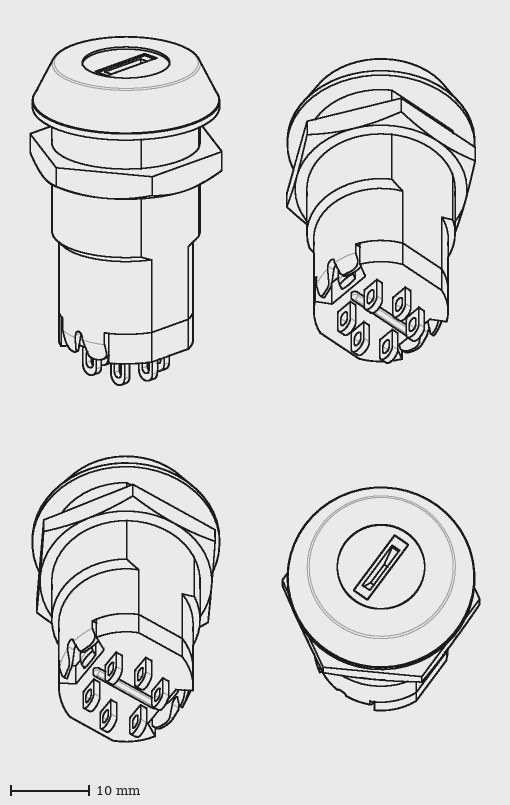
import cadquery as cq
import math

top_z = 42.4
rim_top_z = 37.25
head_bottom_z = 36.35
nut_top_z = 31.4
nut_bottom_z = 27.85
step_top_z = 19.3
base_top_z = 8.45
taper_top_z = 6.85
base_bottom_z = 4.35
rib_bottom_z = 3.4

head_radius = 12.0
rim_chamfer = 0.1
cone_top_radius = 9.4
head_edge_fillet = 0.3
neck_radius = 9.5
barrel_radius = 8.6
half_flats = 7.95
step_bottom_z = step_top_z - (neck_radius - barrel_radius)

tongue_half_width = 3.77
tongue_inner_radius = 7.6
tongue_tip_radius = 7.95
arch_radius = 0.6
arch_top_z = 7.85
notch_half_width = 1.2
tongue_outer_fillet = 1.35
tongue_inner_fillet = 0.7

nut_across_flats = 22.0
nut_chamfer_angle = 30.0

core_radius = 5.6
core_recess = 0.3
frame_width = 2.15
frame_length = 9.0
frame_depth = 0.25
slot_width = 1.15
slot_length = 6.55
slot_straight_depth = 0.95
slot_floor_length = 2.95
slot_end_slope = 60.0

gap_half_angle = 30.0
gap_floor_y = 5.55
catch_half_width = 1.27
catch_radius = 6.3
catch_mid_radius = 6.1
catch_mid_z = 6.15
catch_bottom_z = 5.4
rib_width = 0.98
rib_length = 9.95
rib_fillet = 0.45

leg_width = 2.45
leg_thickness = 0.95
leg_hole_width = 1.2
leg_hole_bottom_z = 1.0
leg_hole_top_z = 3.22
bridge_bottom_z = 5.72
bridge_top_z = 6.65
row_spacing = 3.6
inner_leg_x = 2.55
outer_leg_x = 4.0
clip_rows = [(-row_spacing, inner_leg_x), (0.0, outer_leg_x), (row_spacing, inner_leg_x)]


def revolved(profile):
    """Solid of revolution about Z from (radius, z) points."""
    return cq.Workplane("XZ").polyline(profile).close().revolve(360, (0, 0), (0, 1))


def box_between(x_half, y_half, bottom, top):
    """Box centred on the Z axis between two heights."""
    return (
        cq.Workplane("XY")
        .workplane(offset=bottom)
        .rect(2 * x_half, 2 * y_half)
        .extrude(top - bottom)
    )


def make_tongue():
    """Tongue on the -Y side: arched notch, two round lobes, tapered outer face."""
    half_outline = (
        cq.Workplane("XZ")
        .moveTo(0, base_top_z)
        .lineTo(tongue_half_width, base_top_z)
        .lineTo(tongue_half_width, base_bottom_z)
        .lineTo(notch_half_width, base_bottom_z)
        .lineTo(arch_radius, arch_top_z - arch_radius)
        .radiusArc((0, arch_top_z), -arch_radius)
        .close()
    )
    lobe = half_outline.extrude(neck_radius)
    lobe = lobe.faces("<Z").edges("|Y and >X").fillet(tongue_outer_fillet)
    lobe = lobe.faces("<Z").edges("|Y and <X").fillet(tongue_inner_fillet)
    plate = lobe.union(lobe.mirror("YZ"))
    shell = revolved([
        (tongue_inner_radius, base_top_z),
        (barrel_radius, base_top_z),
        (barrel_radius, taper_top_z),
        (tongue_tip_radius, base_bottom_z),
        (tongue_inner_radius, base_bottom_z),
    ])
    return plate.intersect(shell)


def make_housing():
    """Conical head, flatted neck and barrel, and the two snap tongues."""
    head = revolved([
        (0, head_bottom_z),
        (head_radius, head_bottom_z),
        (head_radius, rim_top_z - rim_chamfer),
        (head_radius - rim_chamfer, rim_top_z),
        (cone_top_radius, top_z),
        (0, top_z),
    ])
    head = head.faces(">Z").edges().fillet(head_edge_fillet)
    shank = revolved([
        (0, base_top_z),
        (barrel_radius, base_top_z),
        (barrel_radius, step_bottom_z),
        (neck_radius, step_top_z),
        (neck_radius, head_bottom_z),
        (0, head_bottom_z),
    ])
    shank = shank.intersect(box_between(half_flats, neck_radius, base_top_z, head_bottom_z))
    tongue = make_tongue()
    core_hole = (
        cq.Workplane("XY")
        .workplane(offset=head_bottom_z)
        .circle(core_radius)
        .extrude(top_z - head_bottom_z)
    )
    return head.union(shank).union(tongue).union(tongue.mirror("XZ")).cut(core_hole)


def make_nut():
    """Hexagonal nut with corners on the Y axis, chamfered on its lower face."""
    nut_height = nut_top_z - nut_bottom_z
    half_corners = nut_across_flats / 2 / math.cos(math.pi / 6)
    hexagon = (
        cq.Workplane("XY")
        .workplane(offset=nut_bottom_z)
        .polygon(6, 2 * half_corners)
        .extrude(nut_height)
        .rotate((0, 0, 0), (0, 0, 1), 30)
    )
    chamfer_run = nut_height / math.tan(math.radians(nut_chamfer_angle))
    envelope = revolved([
        (0, nut_bottom_z),
        (nut_across_flats / 2, nut_bottom_z),
        (nut_across_flats / 2 + chamfer_run, nut_top_z),
        (0, nut_top_z),
    ])
    return hexagon.intersect(envelope).faces(">Z").workplane(origin=(0, 0, 0)).hole(2 * neck_radius)


def make_core():
    """Key core set below the head face, with a framed key slot that narrows to a flat floor."""
    face_z = top_z - core_recess
    frame_floor_z = face_z - frame_depth
    slope_top_z = frame_floor_z - slot_straight_depth
    slope_run = (slot_length - slot_floor_length) / 2
    slot_floor_z = slope_top_z - slope_run * math.tan(math.radians(slot_end_slope))
    disc = (
        cq.Workplane("XY")
        .workplane(offset=head_bottom_z)
        .circle(core_radius)
        .extrude(face_z - head_bottom_z)
    )
    frame = box_between(frame_width / 2, frame_length / 2, frame_floor_z, face_z)
    slot = (
        cq.Workplane("YZ")
        .polyline([
            (-slot_length / 2, frame_floor_z),
            (slot_length / 2, frame_floor_z),
            (slot_length / 2, slope_top_z),
            (slot_floor_length / 2, slot_floor_z),
            (-slot_floor_length / 2, slot_floor_z),
            (-slot_length / 2, slope_top_z),
        ])
        .close()
        .extrude(slot_width / 2, both=True)
    )
    return disc.cut(frame).cut(slot)


def make_leg(x, y):
    """Flat solder leg with a round tip and an elongated hole."""
    tip_radius = leg_width / 2
    hole_length = leg_hole_top_z - leg_hole_bottom_z
    hole_z = (leg_hole_top_z + leg_hole_bottom_z) / 2
    blade = (
        cq.Workplane("XZ", origin=(x, y, 0))
        .moveTo(-tip_radius, bridge_top_z)
        .lineTo(-tip_radius, tip_radius)
        .threePointArc((0, 0), (tip_radius, tip_radius))
        .lineTo(tip_radius, bridge_top_z)
        .close()
        .extrude(leg_thickness / 2, both=True)
    )
    hole = (
        cq.Workplane("XZ", origin=(x, y, hole_z))
        .slot2D(hole_length, leg_hole_width, 90)
        .extrude(leg_thickness, both=True)
    )
    return blade.cut(hole)


def make_clip(y, leg_x):
    """Terminal clip with legs at -leg_x and +leg_x."""
    bridge = box_between(leg_x, leg_thickness / 2, bridge_bottom_z, bridge_top_z).translate((0, y, 0))
    return bridge.union(make_leg(-leg_x, y)).union(make_leg(leg_x, y))


def make_gap():
    """Cutter for the tongue gap on the -Y side: a radial sector with a flat floor."""
    slope = math.tan(math.radians(gap_half_angle))
    outer_y = neck_radius
    return (
        cq.Workplane("XY")
        .workplane(offset=base_bottom_z)
        .polyline([
            (-gap_floor_y * slope, -gap_floor_y),
            (gap_floor_y * slope, -gap_floor_y),
            (outer_y * slope, -outer_y),
            (-outer_y * slope, -outer_y),
        ])
        .close()
        .extrude(base_top_z - base_bottom_z)
    )


def make_base(clips):
    """Base plate with tongue gaps, catches behind the tongue notches, a rib and clip seats."""
    disc = (
        cq.Workplane("XY")
        .workplane(offset=base_bottom_z)
        .circle(barrel_radius)
        .extrude(base_top_z - base_bottom_z)
    )
    plate = disc.intersect(box_between(half_flats, barrel_radius, base_bottom_z, base_top_z))
    gap = make_gap()
    plate = plate.cut(gap).cut(gap.mirror("XZ"))

    catches = revolved([
        (0, catch_bottom_z),
        (gap_floor_y, catch_bottom_z),
        (catch_mid_radius, catch_mid_z),
        (catch_radius, taper_top_z),
        (catch_radius, base_top_z),
        (0, base_top_z),
    ]).intersect(box_between(catch_half_width, barrel_radius, catch_bottom_z, base_top_z))

    rib = (
        cq.Workplane("XY")
        .workplane(offset=rib_bottom_z)
        .slot2D(rib_length, rib_width, 90)
        .extrude(base_bottom_z - rib_bottom_z)
        .faces("<Z")
        .edges()
        .fillet(rib_fillet)
    )
    base = plate.union(catches).union(rib)
    for clip in clips:
        base = base.cut(clip)
    return base


housing = make_housing()
nut = make_nut()
core = make_core()
clips = [make_clip(y, leg_x) for y, leg_x in clip_rows]
base = make_base(clips)

bodies = [housing, nut, core, base, *clips]
result = cq.Compound.makeCompound([solid for body in bodies for solid in body.solids().vals()])